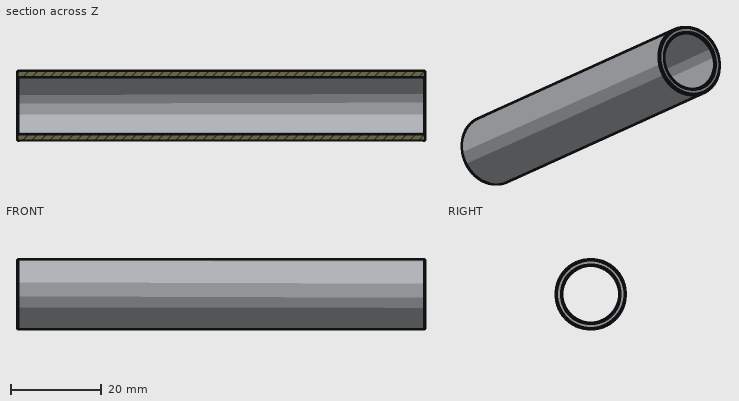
import cadquery as cq

length = 90.62
outer_diameter = 15.62
bore_diameter = 12.6
outer_chamfer = 0.3
bore_chamfer = 0.3

tube = (
    cq.Workplane("YZ", origin=(-length / 2, 0, 0))
    .circle(outer_diameter / 2)
    .circle(bore_diameter / 2)
    .extrude(length)
)

outer_rims = cq.selectors.RadiusNthSelector(-1)
bore_rims = cq.selectors.RadiusNthSelector(0)
result = tube.edges(outer_rims).chamfer(outer_chamfer).edges(bore_rims).chamfer(bore_chamfer)